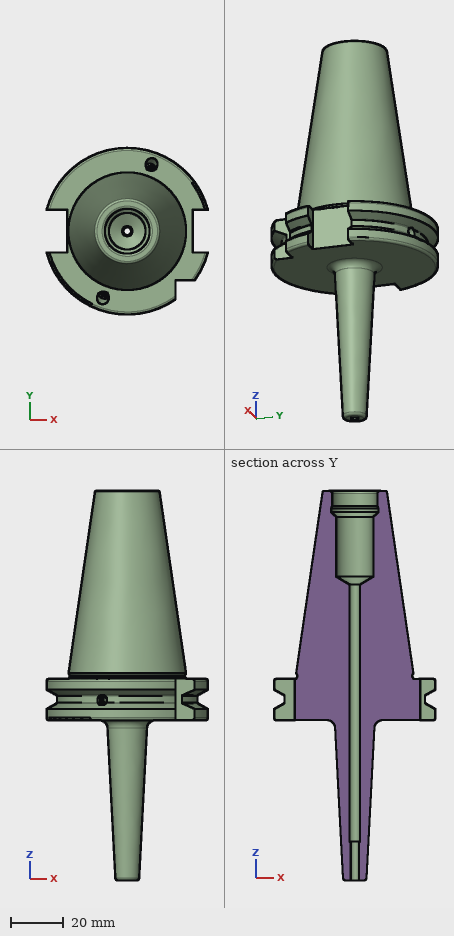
import cadquery as cq
import math


overall_length = 148.4
taper_length = 68.4
gauge_diameter = 44.5
taper_slope = 7 / 48
taper_overrun = 1.0
taper_tip_round = 0.9
relief_depth = 0.5
relief_floor_width = 0.5

flange_diameter = 63.5
flange_top_drop = 3.1
flange_thickness = 15.9
flange_edge_round = 1.0

groove_floor_diameter = 56.0
groove_drop = 7.9
groove_floor_width = 3.0
groove_corner_round = 0.5
groove_flank_angle = 30.0

nose_tip_diameter = 9.0
nose_tip_round = 1.2
nose_taper_angle = 3.0
nose_root_fillet = 3.0

slot_width = 16.2
left_slot_floor = 22.9
right_slot_floor = 25.0
notch_side_x = 18.4
notch_side_y = 18.7

socket_diameter = 17.0
socket_mouth_round = 1.0
socket_depth = 5.8
undercut_diameter = 17.8
undercut_flare_depth = 6.8
undercut_depth = 8.2
thread_diameter = 14.0
thread_start_depth = 10.0
thread_end_depth = 32.6
drill_tip_angle = 118.0
channel_diameter = 3.9
tool_bore_diameter = 3.0
tool_bore_length = 14.8

coolant_hole_angle = 70.0
coolant_hole_radius = 27.0
coolant_hole_tilt = 25.0
coolant_hole_diameter = 4.5
coolant_hole_depth = 4.3
coolant_pilot_diameter = 2.4
coolant_pilot_depth = 10.4
groove_hole_drop = 8.2
groove_hole_diameter = 3.9
groove_hole_end_radius = 25.2
groove_pilot_diameter = 2.1
groove_pilot_end_radius = 23.0

top_z = taper_length
bottom_z = taper_length - overall_length
flange_radius = flange_diameter / 2
flange_top_z = -flange_top_drop
flange_bottom_z = flange_top_z - flange_thickness
groove_mid_z = flange_top_z - groove_drop


def taper_radius(z):
    """Radius of the steep taper at height z."""
    return gauge_diameter / 2 - taper_slope * z


def revolve(outline):
    return outline.close().revolve(360, (0, 0, 0), (0, 1, 0))


def make_shank():
    end_z = -taper_overrun
    end_radius = taper_radius(end_z)
    relief_mid_z = (end_z + flange_top_z) / 2
    shank = revolve(
        cq.Workplane("XZ")
        .moveTo(0, top_z)
        .lineTo(taper_radius(top_z), top_z)
        .lineTo(end_radius, end_z)
        .lineTo(end_radius - relief_depth, relief_mid_z + relief_floor_width / 2)
        .lineTo(end_radius - relief_depth, relief_mid_z - relief_floor_width / 2)
        .lineTo(end_radius, flange_top_z)
        .lineTo(0, flange_top_z)
    )
    return shank.faces(">Z").edges().fillet(taper_tip_round)


def make_flange():
    flange = (
        cq.Workplane("XY", origin=(0, 0, flange_bottom_z))
        .circle(flange_radius)
        .extrude(flange_thickness)
        .edges()
        .fillet(flange_edge_round)
    )
    floor_radius = groove_floor_diameter / 2
    floor_half = groove_floor_width / 2
    flank_rise = (flange_radius - floor_radius) * math.tan(math.radians(groove_flank_angle))
    mouth_half = floor_half + flank_rise
    groove = revolve(
        cq.Workplane("XZ")
        .moveTo(flange_radius, groove_mid_z + mouth_half)
        .lineTo(floor_radius, groove_mid_z + floor_half)
        .lineTo(floor_radius, groove_mid_z - floor_half)
        .lineTo(flange_radius, groove_mid_z - mouth_half)
    )
    floor_edges = cq.selectors.RadiusNthSelector(0)
    return flange.cut(groove.edges(floor_edges).fillet(groove_corner_round))


def make_nose():
    tip_radius = nose_tip_diameter / 2
    slope = math.tan(math.radians(nose_taper_angle))
    root_radius = tip_radius + slope * (flange_bottom_z - bottom_z)
    nose = revolve(
        cq.Workplane("XZ")
        .moveTo(0, bottom_z)
        .lineTo(tip_radius, bottom_z)
        .lineTo(root_radius, flange_bottom_z)
        .lineTo(0, flange_bottom_z)
    )
    return nose.faces("<Z").edges().fillet(nose_tip_round)


def fillet_nose_root(body):
    flange_underside = body.faces(cq.selectors.NearestToPointSelector((0, 0, flange_bottom_z)))
    root_edge = cq.selectors.RadiusNthSelector(0)
    return flange_underside.edges(root_edge).fillet(nose_root_fillet)


def flange_cutter(x_from, x_to, y_from, y_to):
    """Block through the full flange thickness."""
    return (
        cq.Workplane("XY", origin=((x_from + x_to) / 2, (y_from + y_to) / 2, flange_bottom_z))
        .rect(x_to - x_from, y_to - y_from)
        .extrude(flange_thickness)
    )


def make_flange_cutouts():
    half_slot = slot_width / 2
    left_slot = flange_cutter(-flange_radius, -left_slot_floor, -half_slot, half_slot)
    right_slot = flange_cutter(right_slot_floor, flange_radius, -half_slot, half_slot)
    notch = flange_cutter(notch_side_x, flange_radius, -flange_radius, -notch_side_y)
    return left_slot.union(right_slot).union(notch)


def make_bore():
    socket_radius = socket_diameter / 2
    undercut_radius = undercut_diameter / 2
    thread_radius = thread_diameter / 2
    channel_radius = channel_diameter / 2
    bore_radius = tool_bore_diameter / 2
    tip_depth = (thread_radius - channel_radius) / math.tan(math.radians(drill_tip_angle / 2))
    channel_top_z = top_z - thread_end_depth - tip_depth
    tool_stop_z = bottom_z + tool_bore_length
    return revolve(
        cq.Workplane("XZ")
        .moveTo(0, top_z)
        .lineTo(socket_radius + socket_mouth_round, top_z)
        .radiusArc((socket_radius, top_z - socket_mouth_round), -socket_mouth_round)
        .lineTo(socket_radius, top_z - socket_depth)
        .lineTo(undercut_radius, top_z - undercut_flare_depth)
        .lineTo(undercut_radius, top_z - undercut_depth)
        .lineTo(thread_radius, top_z - thread_start_depth)
        .lineTo(thread_radius, top_z - thread_end_depth)
        .lineTo(channel_radius, channel_top_z)
        .lineTo(channel_radius, tool_stop_z)
        .lineTo(bore_radius, tool_stop_z)
        .lineTo(bore_radius, bottom_z)
        .lineTo(0, bottom_z)
    )


def drill(diameter, start, direction, depth):
    """Round drill body of the given depth along direction."""
    return cq.Workplane("XY").add(cq.Solid.makeCylinder(diameter / 2, depth, start, direction))


def make_coolant_holes():
    """Two opposite stepped holes sloping in from the flange face, each met by one from the groove floor."""
    tilt = math.radians(coolant_hole_tilt)
    slope = cq.Vector(-math.sin(tilt), 0, -math.cos(tilt))
    mouth = cq.Vector(coolant_hole_radius, 0, flange_top_z)
    overshoot = coolant_hole_diameter / 2
    start = mouth - slope * overshoot
    face_hole = drill(coolant_hole_diameter, start, slope, overshoot + coolant_hole_depth)
    face_pilot = drill(coolant_pilot_diameter, start, slope, overshoot + coolant_pilot_depth)

    inward = cq.Vector(-1, 0, 0)
    side = cq.Vector(flange_radius, 0, flange_top_z - groove_hole_drop)
    groove_hole = drill(groove_hole_diameter, side, inward, flange_radius - groove_hole_end_radius)
    groove_pilot = drill(groove_pilot_diameter, side, inward, flange_radius - groove_pilot_end_radius)

    set_of_holes = face_hole.union(face_pilot).union(groove_hole).union(groove_pilot)
    first = set_of_holes.rotate((0, 0, 0), (0, 0, 1), coolant_hole_angle)
    second = first.rotate((0, 0, 0), (0, 0, 1), 180)
    return first.union(second)


body = make_shank().union(make_flange()).union(make_nose())
body = fillet_nose_root(body)
result = body.cut(make_flange_cutouts()).cut(make_bore()).cut(make_coolant_holes())